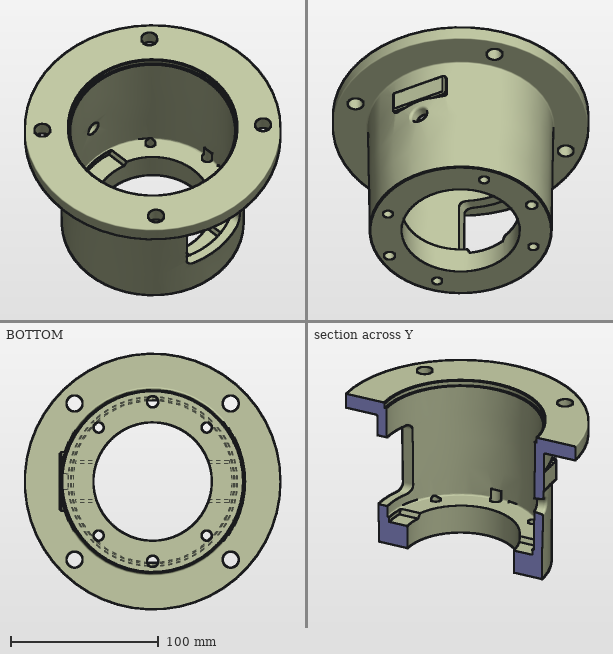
import cadquery as cq
height = 108.0

flange_radius = 86.5
flange_thickness = 11.0
flange_edge_fillet = 0.9
bolt_hole_diameter = 10.7
bolt_hole_pitch = 105.5
flange_underside = height - flange_thickness

barrel_top_radius = 62.8
barrel_bottom_radius = 61.5
neck_fillet = 1.0
foot_chamfer = 0.5

pilot_radius = 56.9
pilot_depth = 4.0
pilot_chamfer = 0.5
cavity_top_radius = 55.7
cavity_bottom_radius = 54.8
floor_thickness = 20.8
floor_fillet = 1.2
floor_radius = cavity_bottom_radius - floor_fillet
opening_radius = 40.0
pilot_seat = height - pilot_depth

channel_bottom_width = 24.5
channel_top_width = 28.4
channel_depth = 3.5

floor_hole_diameter = 6.7
floor_hole_pitch = 73.0
edge_hole_diameter = 7.6
edge_hole_offset = 54.0
edge_hole_depth = 27.7

window_width = 52.2
window_bottom = 29.0
window_top = 81.3
window_corner_radius = 5.2

port_height = 55.7
port_outer_diameter = 11.6
port_inner_diameter = 9.9
port_rim_fillet = 1.7

pad_width = 39.8
pad_height = 17.1
pad_center_height = 75.6
pad_face = 63.0
pad_back = 58.0
pad_corner_radius = 2.0
pad_edge_chamfer = 1.4


def drafted_plug(bottom_radius, top_radius, bottom, top):
    """Solid cone frustum about Z between two heights."""
    return (
        cq.Workplane("XY").workplane(offset=bottom).circle(bottom_radius)
        .workplane(offset=top - bottom).circle(top_radius).loft(ruled=True)
    )


def make_shell():
    """Flange and barrel, with their edges rounded."""
    flange = (
        cq.Workplane("XY").workplane(offset=flange_underside)
        .circle(flange_radius).extrude(flange_thickness)
        .edges().fillet(flange_edge_fillet)
    )
    barrel = drafted_plug(barrel_bottom_radius, barrel_top_radius, 0, flange_underside)
    barrel = barrel.faces("<Z").edges().chamfer(foot_chamfer)
    neck = cq.selectors.RadiusNthSelector(0)
    body = flange.union(barrel)
    return body.faces("<Z[-2]").edges(neck).fillet(neck_fillet)


def make_pad():
    """Flat rectangular pad facing -X."""
    return (
        cq.Workplane("YZ").workplane(offset=-pad_face)
        .center(0, pad_center_height).rect(pad_width, pad_height)
        .extrude(pad_face - pad_back)
        .edges("|X").fillet(pad_corner_radius)
        .faces("<X").edges().chamfer(pad_edge_chamfer)
    )


def make_cavity():
    """Chamfered pilot recess, drafted cavity, floor channel and round opening."""
    pilot = cq.Workplane("XY").workplane(offset=pilot_seat).circle(pilot_radius).extrude(pilot_depth)
    mouth = drafted_plug(pilot_radius, pilot_radius + pilot_chamfer, height - pilot_chamfer, height)
    bore = drafted_plug(cavity_bottom_radius, cavity_top_radius, floor_thickness, pilot_seat)
    bore = bore.faces("<Z").edges().fillet(floor_fillet)
    opening = cq.Workplane("XY").circle(opening_radius).extrude(height)
    channel_floor = floor_thickness - channel_depth
    channel = (
        cq.Workplane("YZ")
        .moveTo(-channel_bottom_width / 2, channel_floor)
        .lineTo(channel_bottom_width / 2, channel_floor)
        .lineTo(channel_top_width / 2, floor_thickness)
        .lineTo(channel_top_width / 2, floor_thickness + floor_fillet)
        .lineTo(-channel_top_width / 2, floor_thickness + floor_fillet)
        .lineTo(-channel_top_width / 2, floor_thickness)
        .close().extrude(cavity_bottom_radius, both=True)
    )
    channel_limit = cq.Workplane("XY").circle(floor_radius).extrude(height)
    return pilot.union(mouth).union(bore).union(opening).union(channel.intersect(channel_limit))


def make_vertical_holes():
    """Flange bolt holes, floor holes and the two holes at the edge of the floor."""
    bolt_holes = (
        cq.Workplane("XY").workplane(offset=flange_underside)
        .rect(bolt_hole_pitch, bolt_hole_pitch, forConstruction=True).vertices()
        .circle(bolt_hole_diameter / 2).extrude(flange_thickness)
    )
    floor_holes = (
        cq.Workplane("XY")
        .rect(floor_hole_pitch, floor_hole_pitch, forConstruction=True).vertices()
        .circle(floor_hole_diameter / 2).extrude(floor_thickness + floor_fillet)
    )
    edge_holes = (
        cq.Workplane("XY")
        .pushPoints([(0, edge_hole_offset), (0, -edge_hole_offset)])
        .circle(edge_hole_diameter / 2).extrude(edge_hole_depth)
    )
    return bolt_holes.union(floor_holes).union(edge_holes)


def make_window():
    """Round-cornered rectangular opening through the +X wall."""
    return (
        cq.Workplane("YZ")
        .center(0, (window_bottom + window_top) / 2)
        .rect(window_width, window_top - window_bottom).extrude(flange_radius)
        .edges("|X").fillet(window_corner_radius)
    )


def make_port():
    """Cone that narrows from the outside of the -X wall to the inside."""
    outside = barrel_top_radius
    inside = cavity_bottom_radius
    slope = (port_outer_diameter - port_inner_diameter) / 2 / (outside - inside)
    start = cavity_bottom_radius / 2
    end = flange_radius
    start_radius = port_inner_diameter / 2 - slope * (inside - start)
    end_radius = port_outer_diameter / 2 + slope * (end - outside)
    cone = cq.Solid.makeCone(
        start_radius, end_radius, end - start, cq.Vector(-start, 0, port_height), cq.Vector(-1, 0, 0)
    )
    return cq.Workplane(cone)


walls = make_shell().cut(make_cavity()).cut(make_port())
port_mouth = cq.selectors.NearestToPointSelector((-barrel_top_radius, 0, port_height))
walls = walls.edges(port_mouth).fillet(port_rim_fillet)
result = walls.union(make_pad()).cut(make_vertical_holes()).cut(make_window())